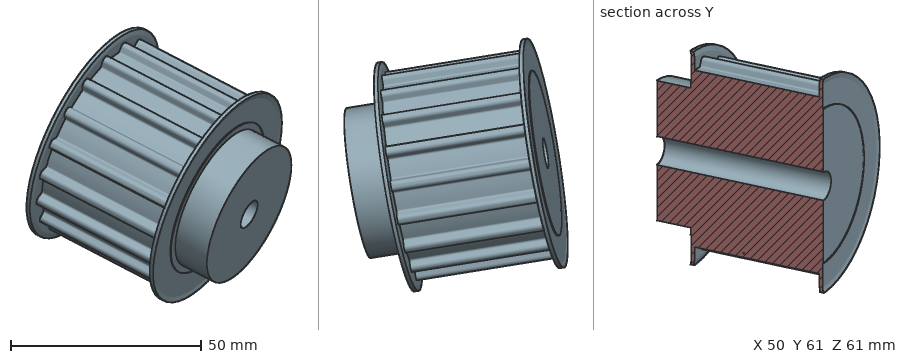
import cadquery as cq
import math


overall_length = 50.0
hub_length = 10.0
flange_thickness = 1.1
rim_offset = 0.25

bore_diameter = 8.0
hub_diameter = 40.0
flange_seat_diameter = 44.0
flange_diameter = 61.0
flange_flat_diameter = 58.0

tooth_count = 18
tip_radius = 27.75
groove_depth = 2.5
flank_angle = 11.0
tip_half_width = 1.18
tip_round = 1.15
root_round = 0.6
root_edge_tolerance = 0.05

root_radius = tip_radius - groove_depth
toothed_end = overall_length - hub_length
teeth_start = rim_offset + flange_thickness
teeth_end = toothed_end - teeth_start
teeth_length = teeth_end - teeth_start
tooth_pitch_angle = 360.0 / tooth_count


def cylinder_along_x(diameter, start, length):
    return cq.Workplane("YZ", origin=(start, 0, 0)).circle(diameter / 2).extrude(length)


def make_flange(inner_face, outward):
    """Disc of even thickness with a conical rim; outward is -1 towards -X and 1 towards +X."""
    flat_radius = flange_flat_diameter / 2
    rim_radius = flange_diameter / 2
    outer_face = inner_face + outward * flange_thickness
    bend = outward * rim_offset
    half_section = [
        (inner_face, 0),
        (inner_face, flat_radius),
        (inner_face + bend, rim_radius),
        (outer_face + bend, rim_radius),
        (outer_face, flat_radius),
        (outer_face, 0),
    ]
    return cq.Workplane("XY").polyline(half_section).close().revolve(360, (0, 0, 0), (1, 0, 0))


def make_tooth():
    """One trapezoidal tooth pointing along -Y, its foot sunk into the root cylinder."""
    foot_radius = root_radius - groove_depth
    foot_half_width = tip_half_width + (tip_radius - foot_radius) * math.tan(math.radians(flank_angle))
    profile = [
        (-tip_radius, -tip_half_width),
        (-tip_radius, tip_half_width),
        (-foot_radius, foot_half_width),
        (-foot_radius, -foot_half_width),
    ]
    tooth = cq.Workplane("YZ", origin=(teeth_start, 0, 0)).polyline(profile).close().extrude(teeth_length)
    return tooth.edges("|X and <Y").fillet(tip_round)


def edge_lies_on_root(edge):
    center = edge.Center()
    return abs(math.hypot(center.y, center.z) - root_radius) < root_edge_tolerance


def make_toothed_body():
    body = cylinder_along_x(2 * root_radius, teeth_start, teeth_length)
    tooth = make_tooth()
    for index in range(tooth_count):
        body = body.union(tooth.rotate((0, 0, 0), (1, 0, 0), index * tooth_pitch_angle))
    return body.clean().edges("|X").filter(edge_lies_on_root).fillet(root_round)


body = make_toothed_body()
body = body.union(make_flange(teeth_start, -1))
body = body.union(make_flange(teeth_end, 1))
body = body.union(cylinder_along_x(flange_seat_diameter, 0, toothed_end))
body = body.union(cylinder_along_x(hub_diameter, teeth_end, overall_length - teeth_end))
result = body.cut(cylinder_along_x(bore_diameter, 0, overall_length))